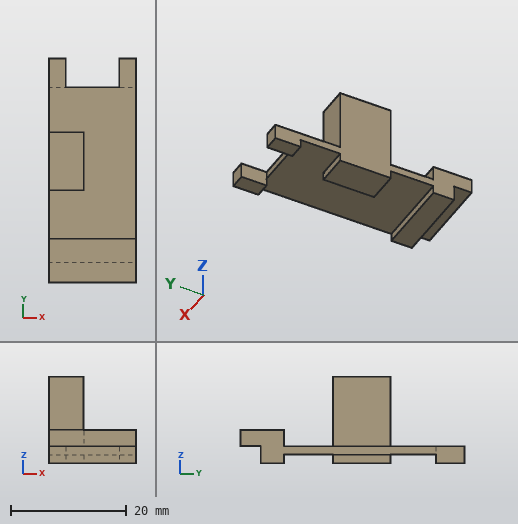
import cadquery as cq

width = 15.15
length = 38.8
height = 15.0

plate_bottom = 1.5
plate_top = 3.0
lip_top = 5.8

lip_overhang = 3.5
front_block_end = 7.55

post_width = 6.0
post_length = 10.0
post_start = 16.0

prong_width = 2.95
prong_length = 4.95


def box(x_start, x_end, y_start, y_end, z_start, z_end):
    """Axis-aligned block between the given limits."""
    size = (x_end - x_start, y_end - y_start, z_end - z_start)
    return cq.Workplane("XY").box(*size, centered=False).translate((x_start, y_start, z_start))


plate = box(0, width, lip_overhang, length, plate_bottom, plate_top)

foot = box(0, width, lip_overhang, front_block_end, 0, plate_top)
lip = box(0, width, 0, front_block_end, plate_top, lip_top)

post = box(0, post_width, post_start, post_start + post_length, 0, height)

prong_start = length - prong_length
rear_bar = box(0, width, prong_start, length, 0, plate_top)
notch = box(prong_width, width - prong_width, prong_start, length, 0, plate_top)

result = plate.union(foot).union(lip).union(post).union(rear_bar).cut(notch)